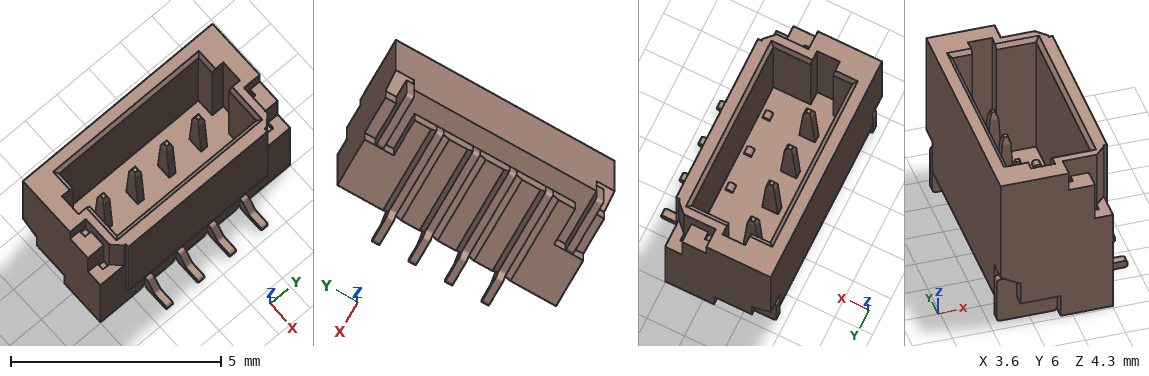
import cadquery as cq
import math


height = 4.3
standoff = 0.05
housing_x = 2.8
housing_y = 6.0
half_y = housing_y / 2

rib_depth = 0.095
core_y = 4.405
rib_bottom_z = 1.05

cavity_min_x = 0.4
cavity_max_x = 2.49
cavity_floor_z = 1.05
cavity_chamfer = 0.1
key_min_x = 0.9
key_max_x = 1.5
key_y = 5.1

end_wall = 0.5
inner_end_y = half_y - end_wall
pocket_min_x = 1.705
pocket_step_x = 2.35
pocket_bevel_x = 2.55
upper_pocket_z = height - 0.5
lower_pocket_z = height - 1.5
pocket_hole = 0.19

undercut_z = 0.65
undercut_x = 0.5
end_undercut_x = 1.5
tab_recess_z = 1.25
tab_recess_slope = 31.0

contact_count = 4
pitch = housing_y / (contact_count + 2)
metal = 0.2
bend_radius = 0.095
contact_length = 3.6
lead_angle = 60.0
shank_end_x = 2.9
heel_x = 2.875
groove_bevel = metal - standoff
pin_x = 1.2
pin_base_x = 0.42
pin_neck_x = 0.22
pin_tip = 0.1
pin_taper_height = 1.7
pin_tip_height = 0.2
post_x = 2.29
post_width = 0.2


def box(min_x, max_x, min_y, max_y, min_z, max_z):
    """An axis-aligned block between two opposite corners."""
    size = (max_x - min_x, max_y - min_y, max_z - min_z)
    return cq.Workplane("XY").box(*size, centered=False).translate((min_x, min_y, min_z))


def prism_y(outline, min_y, max_y):
    """An XZ outline extruded along Y."""
    return cq.Workplane("XZ", origin=(0, max_y, 0)).polyline(outline).close().extrude(max_y - min_y)


def both_ends(shape):
    """The +Y feature together with its mirror image at -Y."""
    return shape.union(shape.mirror("XZ"))


def cavity():
    """Chamfered mating cavity with a keyway in each end wall."""
    mid_x = (cavity_min_x + cavity_max_x) / 2
    length_x = cavity_max_x - cavity_min_x
    main = box(cavity_min_x, cavity_max_x, -core_y / 2, core_y / 2, cavity_floor_z, height)
    mouth = (
        cq.Workplane("XY", origin=(mid_x, 0, height))
        .rect(length_x + 2 * cavity_chamfer, core_y + 2 * cavity_chamfer)
        .workplane(offset=-cavity_chamfer)
        .rect(length_x, core_y)
        .loft(ruled=True)
    )
    keyway = box(key_min_x, key_max_x, -key_y / 2, key_y / 2, cavity_floor_z, height)
    return main.union(mouth).union(keyway)


def corner_pocket():
    """Two-level pocket at the +Y end with a square hole in each level."""
    bevel = housing_x - pocket_bevel_x
    plan = [
        (pocket_min_x, half_y),
        (pocket_min_x, inner_end_y),
        (pocket_bevel_x, inner_end_y),
        (housing_x, inner_end_y - bevel),
        (housing_x, half_y),
    ]
    pocket = (
        cq.Workplane("XY", origin=(0, 0, lower_pocket_z))
        .polyline(plan)
        .close()
        .extrude(height - lower_pocket_z)
        .cut(box(pocket_min_x, pocket_step_x, inner_end_y, half_y, lower_pocket_z, upper_pocket_z))
    )
    for hole_x, level_z in ((pocket_min_x, upper_pocket_z), (pocket_step_x, lower_pocket_z)):
        hole = box(
            hole_x, hole_x + pocket_hole,
            inner_end_y, inner_end_y + pocket_hole,
            level_z - pocket_hole, level_z,
        )
        pocket = pocket.union(hole)
    return pocket


def end_recess():
    """Recess at the +Y end: the undercut plus the sloped-roof space above the tab."""
    roof_rise = undercut_x * math.tan(math.radians(tab_recess_slope))
    tab_space = prism_y(
        [(0, 0), (undercut_x, 0), (undercut_x, tab_recess_z), (0, tab_recess_z + roof_rise)],
        inner_end_y, half_y,
    )
    return tab_space.union(box(0, end_undercut_x, core_y / 2, half_y, 0, undercut_z))


def contact_passage(y):
    """Slot, bevelled groove and floor holes that take one contact."""
    low_y = y - metal / 2
    high_y = y + metal / 2
    slot = box(undercut_x, housing_x, low_y, high_y, standoff, undercut_z)
    groove = (
        cq.Workplane("YZ", origin=(undercut_x, 0, 0))
        .polyline([
            (low_y - groove_bevel, standoff),
            (high_y + groove_bevel, standoff),
            (high_y, metal),
            (low_y, metal),
        ])
        .close()
        .extrude(housing_x - undercut_x)
    )
    passage = slot.union(groove)
    for hole_x, width in ((pin_x, pin_base_x), (post_x, post_width)):
        hole = box(hole_x - width / 2, hole_x + width / 2, low_y, high_y, undercut_z, cavity_floor_z)
        passage = passage.union(hole)
    return passage


def make_housing(contact_places):
    body = box(0, housing_x, -half_y, half_y, standoff, height)
    rib = box(housing_x, housing_x + rib_depth, -core_y / 2, core_y / 2, rib_bottom_z, height)
    body = body.union(rib).cut(cavity())
    body = body.cut(both_ends(corner_pocket()))
    body = body.cut(box(0, undercut_x, -core_y / 2, core_y / 2, standoff, undercut_z))
    body = body.cut(both_ends(end_recess()))
    for y in contact_places:
        body = body.cut(contact_passage(y))
    return body


def make_contact(y):
    """One contact: bar with gull-wing foot, tapered pin and round-topped post."""
    low_y = y - metal / 2
    high_y = y + metal / 2
    slope = math.tan(math.radians(lead_angle))
    lead = prism_y(
        [
            (undercut_x, metal),
            (heel_x - metal / slope, metal),
            (heel_x, 0),
            (contact_length, 0),
            (contact_length, metal),
            (shank_end_x + (undercut_z - metal) / slope, metal),
            (shank_end_x, undercut_z),
            (undercut_x, undercut_z),
        ],
        low_y, high_y,
    )
    lead = lead.edges("|Y exc (<X and >Z)").fillet(bend_radius)

    shank = box(pin_x - pin_base_x / 2, pin_x + pin_base_x / 2, low_y, high_y, undercut_z, cavity_floor_z)
    neck_z = cavity_floor_z + pin_taper_height
    taper = prism_y(
        [
            (pin_x - pin_base_x / 2, cavity_floor_z),
            (pin_x + pin_base_x / 2, cavity_floor_z),
            (pin_x + pin_neck_x / 2, neck_z),
            (pin_x - pin_neck_x / 2, neck_z),
        ],
        low_y, high_y,
    )
    tip = (
        cq.Workplane("XY", origin=(pin_x, y, neck_z))
        .rect(pin_neck_x, metal)
        .workplane(offset=pin_tip_height)
        .rect(pin_tip, pin_tip)
        .loft(ruled=True)
    )

    post_radius = post_width / 2
    post = (
        cq.Workplane("XZ", origin=(0, high_y, 0))
        .moveTo(post_x - post_radius, undercut_z)
        .lineTo(post_x + post_radius, undercut_z)
        .lineTo(post_x + post_radius, cavity_floor_z)
        .threePointArc((post_x, cavity_floor_z + post_radius), (post_x - post_radius, cavity_floor_z))
        .close()
        .extrude(metal)
    )
    return lead.union(shank).union(taper).union(tip).union(post)


def make_tab(side):
    """L-shaped solder tab lying against the inner side of the end recess (side = 1 or -1)."""
    tab = prism_y(
        [
            (0, 0),
            (end_undercut_x, 0),
            (end_undercut_x, undercut_z),
            (undercut_x, undercut_z),
            (undercut_x, tab_recess_z),
            (0, tab_recess_z),
        ],
        inner_end_y, inner_end_y + metal,
    )
    tab = tab.edges("|Y and (<X or <Z)").fillet(bend_radius)
    return tab if side > 0 else tab.mirror("XZ")


contact_places = [(i - (contact_count - 1) / 2) * pitch for i in range(contact_count)]
housing = make_housing(contact_places)
contacts = [make_contact(y) for y in contact_places]
tabs = [make_tab(side) for side in (1, -1)]

result = cq.Compound.makeCompound([
    housing.val(),
    *[contact.val() for contact in contacts],
    *[tab.val() for tab in tabs],
])